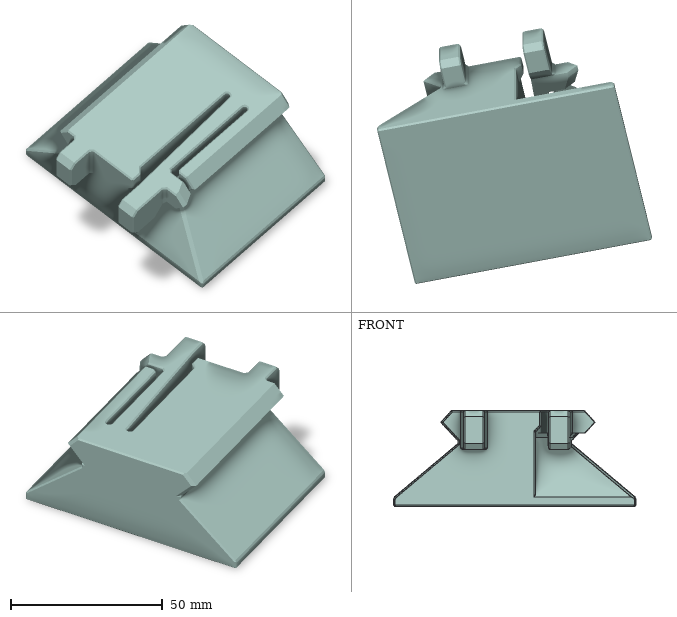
import cadquery as cq
import math

base_width = 80.0
body_length = 60.0
height = 31.8
edge = 0.5
head_end_bevel = 2 * edge
gusset = 1.0
margin = 4.0

base_half = base_width / 2
rim_height = 3.0
flank_angle = 40.0
neck_half = 18.8
neck_bottom = rim_height + (base_half - neck_half) * math.tan(math.radians(flank_angle))
neck_top = 21.8
rail_half = 24.4
rail_height = 27.8
top_half = 20.8

pocket_left = 6.8
pocket_bottom = 3.1
pocket_depth = 12.8
floor_rim_bevel = 0.9

slot_floor = 22.9
slot_width = 2.0
slot_radius = slot_width / 2
slot_straight_end = 46.6
left_slot_right = pocket_left + slot_width
right_slot_left = 14.7
right_slot_right = right_slot_left + slot_width
clip_bottom = 24.2

tooth_reach = 1.8
tooth_right = pocket_left + tooth_reach
tooth_back = 5.7
tooth_bottom = 24.6

finger_length = 10.0
finger_width = 7.0
finger_bottom = 18.8
finger_bevel = 2.1
left_finger_x = -17.0
clip_finger_x = 11.1
clip_finger_right = clip_finger_x + finger_width

hook_back = 11.2
hook_flat_back = 7.1
hook_front = 5.3
hook_reach = 26.5
hook_shift = hook_reach - rail_half
finger_root = hook_front - (clip_bottom - finger_bottom)
clip_joint = pocket_depth + margin


def plan_prism(points, bottom, top):
    return cq.Workplane("XY").workplane(offset=bottom).polyline(points).close().extrude(top - bottom)


def profile_prism(points, front, back):
    """Extrude an XZ outline from y = front to y = back."""
    plane = cq.Workplane("XZ", origin=(0, front, 0))
    return plane.polyline(points).close().extrude(front - back)


def side_prism(points, left, right):
    """Extrude a YZ outline from x = left to x = right."""
    return cq.Workplane("YZ", origin=(left, 0, 0)).polyline(points).close().extrude(right - left)


def edges_where(shape, test):
    """Collect the edges whose two ends and centre pass the test."""
    picked = [e for e in shape.edges().vals() if test(e.startPoint(), e.endPoint(), e.Center())]
    return shape.newObject(picked)


def in_plane(a, b, y):
    return abs(a.y - y) < 0.01 and abs(b.y - y) < 0.01


def mirrored_outline(right_side):
    """Complete a left-right symmetric XZ outline from its right half."""
    return right_side + [(-x, z) for x, z in reversed(right_side)]


def make_base():
    right_side = [
        (base_half, 0),
        (base_half, rim_height),
        (neck_half, neck_bottom),
        (neck_half, neck_top),
    ]
    base = profile_prism(mirrored_outline(right_side), 0, body_length)
    base = edges_where(base, lambda a, b, c: in_plane(a, b, body_length) and c.z < neck_top).chamfer(edge)
    return edges_where(base, lambda a, b, c: abs(c.x) > base_half - 0.01 and abs(a.y - b.y) > 0.8).chamfer(edge)


def make_head():
    right_side = [(neck_half, neck_top), (rail_half, rail_height), (top_half, height)]
    head = profile_prism(mirrored_outline(right_side), 0, body_length)
    slanted_back = edges_where(head, lambda a, b, c: in_plane(a, b, body_length) and abs(c.x) > neck_half)
    head = slanted_back.chamfer(head_end_bevel)
    return head.faces(">Y").edges(">Z").chamfer(edge)


def pocket_cutter():
    outline = [
        (-margin, pocket_bottom),
        (0, pocket_bottom),
        (pocket_depth, slot_floor),
        (pocket_depth, height + margin),
        (-margin, height + margin),
    ]
    return side_prism(outline, pocket_left, base_half + margin)


def make_tooth():
    """Stop tooth with a 45 degree back end and a 45 degree underside."""
    section = [
        (pocket_left - margin, tooth_bottom - margin),
        (tooth_right, tooth_bottom + tooth_reach),
        (tooth_right, height),
        (pocket_left - margin, height),
    ]
    plan = [
        (pocket_left - margin, 0),
        (tooth_right, 0),
        (tooth_right, tooth_back - tooth_reach),
        (pocket_left - margin, tooth_back + margin),
    ]
    return profile_prism(section, 0, body_length).intersect(plan_prism(plan, 0, height))


def bevel_front(body):
    """Bevel the rim of the sloped floor, the shortened right end of the head and the front face."""
    def on_floor_rim(a, b, c):
        on_slope = 0 <= min(a.y, b.y) and max(a.y, b.y) < pocket_depth
        return on_slope and c.x > neck_half + 0.8 and rim_height + 0.8 < c.z < neck_bottom

    def on_head_end(a, b, c):
        return in_plane(a, b, pocket_depth) and c.x > tooth_right and c.z > slot_floor + edge

    def on_front_face(a, b, c):
        return in_plane(a, b, 0) and abs(c.z - pocket_bottom) > 0.01

    for is_rim in (on_head_end, on_front_face):
        body = edges_where(body, is_rim).chamfer(edge)
    return edges_where(body, on_floor_rim).chamfer(floor_rim_bevel)


def undercut_cutter():
    """Space below the beam, with rounded back corners."""
    front = pocket_depth - margin
    plan = [
        (pocket_left, front),
        (right_slot_right, front),
        (right_slot_right, slot_straight_end + slot_radius),
        (pocket_left, slot_straight_end + slot_radius),
    ]
    space = plan_prism(plan, slot_floor, clip_bottom)
    return space.edges("|Z and >Y").fillet(slot_radius)


def slot_cutter(left, outline):
    """Round-ended slot with a 45 degree flare at the top; the outline runs on from its right side."""
    def sketch(bottom):
        start = cq.Workplane("XY").workplane(offset=bottom).moveTo(left, slot_straight_end)
        end = start.threePointArc(
            (left + slot_radius, slot_straight_end + slot_radius), (left + slot_width, slot_straight_end)
        )
        for point in outline:
            end = end.lineTo(*point)
        return end.close()

    walls = sketch(slot_floor).extrude(height - slot_floor)
    flare = sketch(height - edge).extrude(edge, taper=-45)
    return walls.union(flare)


def left_slot_cutter():
    return slot_cutter(
        pocket_left,
        [
            (clip_finger_x, finger_root),
            (clip_finger_x, -margin),
            (tooth_right, -margin),
            (tooth_right, tooth_back - tooth_reach),
            (pocket_left, tooth_back),
        ],
    )


def right_slot_cutter():
    return slot_cutter(
        right_slot_left,
        [
            (right_slot_right, pocket_depth + gusset),
            (right_slot_right + gusset, pocket_depth),
            (right_slot_right + gusset, hook_front),
            (right_slot_left, hook_front),
        ],
    )


def finger_profile(tail):
    """YZ outline of a finger with a bevelled tip; the tail gives its underside and back end."""
    return [
        (finger_bevel - finger_length, height),
        (-finger_length, height - finger_bevel),
        (-finger_length, finger_bottom + finger_bevel),
        (finger_bevel - finger_length, finger_bottom),
    ] + tail


def is_finger_rim(a, b, c):
    """True along the two sides of a finger, but not for edges across it or in its plan corners."""
    across = abs(a.x - b.x) > finger_width / 2
    plan_corner = abs(a.z - b.z) > 0.8 and c.y > -finger_length + finger_bevel
    return c.y < finger_root and not across and not plan_corner


def make_left_finger():
    right = left_finger_x + finger_width
    plan = [
        (left_finger_x - gusset, margin),
        (left_finger_x - gusset, 0),
        (left_finger_x, -gusset),
        (left_finger_x, -finger_length),
        (right, -finger_length),
        (right, -gusset),
        (right + gusset, 0),
        (right + gusset, margin),
    ]
    profile = finger_profile([(margin, finger_bottom), (margin, height)])
    finger = plan_prism(plan, 0, height).intersect(side_prism(profile, -base_half, base_half))
    return edges_where(finger, is_finger_rim).chamfer(edge)


def make_hook():
    """Hook tip with the bevels of the rail, sloping outwards from its back end to a flat."""
    def section(y, shift):
        underside_slope = (rail_half - neck_half) / (rail_height - neck_top)
        bottom_half = rail_half - (rail_height - clip_bottom) * underside_slope
        points = [
            (right_slot_left, clip_bottom),
            (bottom_half + shift, clip_bottom),
            (rail_half + shift, rail_height),
            (top_half + shift, height),
            (right_slot_left, height),
        ]
        return cq.Wire.makePolygon([cq.Vector(x, y, z) for x, z in points], close=True)

    ramp = cq.Solid.makeLoft([section(hook_back, 0), section(hook_flat_back, hook_shift)], True)
    flat = cq.Solid.makeLoft([section(hook_flat_back, hook_shift), section(hook_front, hook_shift)], True)
    return cq.Workplane(ramp).union(cq.Workplane(flat))


def make_clip():
    """Front part of the spring beam with its finger and hook."""
    taper = (clip_finger_x - left_slot_right) / (slot_straight_end - finger_root)
    left_at_joint = clip_finger_x - taper * (clip_joint - finger_root)
    plan = [
        (left_at_joint, clip_joint),
        (clip_finger_x, finger_root),
        (clip_finger_x, -finger_length),
        (clip_finger_right, -finger_length),
        (clip_finger_right, hook_front - gusset),
        (clip_finger_right + gusset, hook_front),
        (clip_finger_right + gusset, hook_back),
        (right_slot_left + gusset, hook_back),
        (right_slot_left, hook_back + gusset),
        (right_slot_left, clip_joint),
    ]
    profile = finger_profile(
        [(finger_root, finger_bottom), (hook_front, clip_bottom), (clip_joint, clip_bottom), (clip_joint, height)]
    )
    clip = plan_prism(plan, 0, height).intersect(side_prism(profile, -base_half, base_half))
    clip = clip.union(make_hook()).clean()

    def is_rim(a, b, c):
        on_top = min(a.z, b.z) > height - 0.01
        on_joint = in_plane(a, b, clip_joint)
        on_hook_end = c.x > top_half and abs(a.y - b.y) > 0.8
        is_beam_rim = on_top and c.y > finger_root and not on_joint and not on_hook_end
        return is_beam_rim or is_finger_rim(a, b, c)

    return edges_where(clip, is_rim).chamfer(edge)


result = make_base().union(make_head())
result = result.cut(pocket_cutter()).union(make_tooth()).clean()
result = bevel_front(result)
result = result.cut(undercut_cutter()).cut(left_slot_cutter()).cut(right_slot_cutter())
result = result.union(make_left_finger()).union(make_clip())